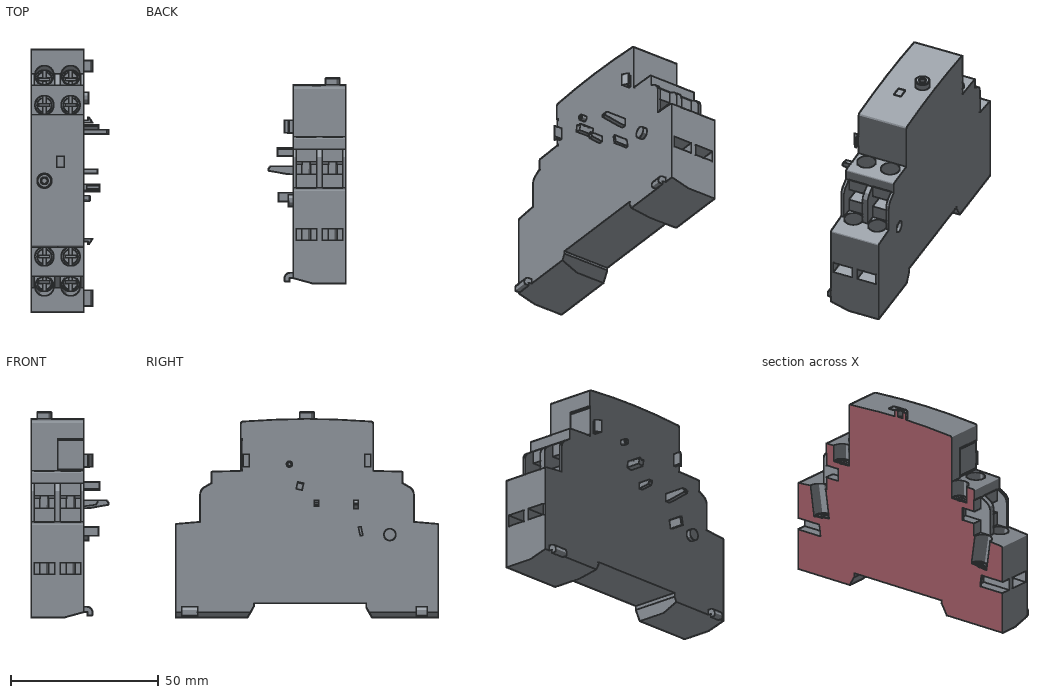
import cadquery as cq
import math


width = 18.0
length = 89.4
half_length = length / 2
overall_height = 70.0

head_half = 22.5
head_corner_z = 66.7
crown_z = 67.6
head_edge_radius = 0.8

upper_step_half = 32.5
upper_step_inner_z = 50.0
upper_step_outer_z = 49.7
step_edge_radius = 0.5

shoulder_half = 36.4
shoulder_top_z = 45.8
shoulder_slope = math.radians(30)
shoulder_radius = 3.1

lower_step_inner_z = 32.6
lower_step_outer_z = 31.9

rail_depth = 4.9
rail_back_y = 20.1
rail_front_y = -18.0
rail_back_lip = 3.5
rail_front_lip = 3.9
rail_slope = math.radians(30)

bevel_start_x = 11.1
bevel_height = 1.9

terminal_pitch = 8.9
terminal_xs = (width / 2 - terminal_pitch / 2, width / 2 + terminal_pitch / 2)
terminal_width = 7.0
bay_setback = 0.3
screw_hole_diameter = 6.4
screw_head_diameter = 5.0
screw_shaft_diameter = 3.0
screw_head_height = 0.5
long_slot_width = 1.25
short_slot_width = 1.0
short_slot_length = 3.7
long_slot_depth = 0.7
short_slot_depth = 0.9

upper_screw_y = 25.75
upper_screw_depth = 5.8
upper_window_bottom = 37.2
upper_window_top = 41.5
upper_lip_height = 0.8
upper_lip_thickness = 0.7

lower_screw_y = 35.9
lower_screw_depth = 10.7
lower_screw_tilt = 8.0
lower_window_bottom = 14.75
lower_window_top = 18.8

button_x = terminal_xs[0]
button_diameter = 5.0
button_chamfer = 0.3
button_hole_diameter = 2.0
button_sink_diameter = 2.5
button_hole_depth = 2.2

marker_center = (10.0, 6.5)
marker_size = (2.6, 3.75)
shallow_depth = 0.3

label_x = 9.0
label_bottom = upper_step_inner_z
label_top = 60.8
label_gap = 0.5
label_gap_depth = 0.45

peg_y = 28.2
peg_z = 28.25
peg_diameter = 4.0
peg_length = 1.6

root_x = width - 0.45
back_hook_range = (37.1, 40.95)
front_hook_range = (-42.6, -37.2)
bar_tilt = 12.0


def block(x_range, y_range, z_range):
    """Axis-aligned box given by its limits."""
    (x0, x1), (y0, y1), (z0, z1) = x_range, y_range, z_range
    return cq.Workplane("XY").box(x1 - x0, y1 - y0, z1 - z0, centered=False).translate((x0, y0, z0))


def prism_along_x(points, x0, x1):
    """Extrude a (y, z) outline from x0 to x1."""
    return cq.Workplane("YZ").workplane(offset=x0).polyline(points).close().extrude(x1 - x0)


def prism_along_y(points, y0, y1):
    """Extrude an (x, z) outline from y0 to y1."""
    return cq.Workplane("XZ").workplane(offset=-y1).polyline(points).close().extrude(y1 - y0)


def x_cylinder(diameter, x0, x1, y, z):
    return cq.Workplane("YZ").workplane(offset=x0).center(y, z).circle(diameter / 2).extrude(x1 - x0)


def mirrored(shape):
    """The shape together with its mirror image at the -Y end."""
    return shape.union(shape.mirror("XZ"))


def edge_at(y, z):
    """Selector for the edge along X that passes through (y, z)."""
    reach = 0.045
    return cq.selectors.BoxSelector((-0.9, y - reach, z - reach), (width + 0.9, y + reach, z + reach))


def make_housing():
    shoulder_corner_z = shoulder_top_z - (shoulder_half - upper_step_half) * math.tan(shoulder_slope)
    rail_back_foot = rail_back_y + rail_back_lip * math.tan(rail_slope)
    rail_front_foot = rail_front_y - rail_front_lip * math.tan(rail_slope)
    flank = [
        (half_length, 0),
        (half_length, lower_step_outer_z),
        (shoulder_half, lower_step_inner_z),
        (shoulder_half, shoulder_corner_z),
        (upper_step_half, shoulder_top_z),
        (upper_step_half, upper_step_outer_z),
        (head_half, upper_step_inner_z),
        (head_half, head_corner_z),
    ]
    outline = cq.Workplane("YZ").polyline(flank)
    outline = outline.threePointArc((0, crown_z), (-head_half, head_corner_z))
    for y, z in reversed(flank[:-1]):
        outline = outline.lineTo(-y, z)
    notch = [
        (rail_front_foot, 0),
        (rail_front_y, rail_front_lip),
        (rail_front_y, rail_depth),
        (rail_back_y, rail_depth),
        (rail_back_y, rail_back_lip),
        (rail_back_foot, 0),
    ]
    for point in notch:
        outline = outline.lineTo(*point)
    body = outline.close().extrude(width)

    rounded_edges = [
        (head_half, head_corner_z, head_edge_radius),
        (upper_step_half, upper_step_outer_z, step_edge_radius),
        (half_length, lower_step_outer_z, step_edge_radius),
        (shoulder_half, shoulder_corner_z, shoulder_radius),
    ]
    for y, z, radius in rounded_edges:
        for side in (1, -1):
            body = body.edges(edge_at(side * y, z)).fillet(radius)

    bevel = [(bevel_start_x, 0), (width, bevel_height), (width, 0)]
    return body.cut(prism_along_y(bevel, -half_length, half_length))


def screw_well(depth):
    """Cutter for a well below the origin, leaving a cross-slotted screw head on its floor."""
    mouth = 1.8
    hole_radius = screw_hole_diameter / 2
    well = cq.Workplane("XY").workplane(offset=-depth).circle(hole_radius).extrude(depth + mouth)
    head = (
        cq.Workplane("XY").workplane(offset=-depth).circle(hole_radius)
        .workplane(offset=screw_head_height).circle(screw_head_diameter / 2).loft()
    )
    head_top = screw_head_height - depth
    long_slot = cq.Workplane("XY").box(long_slot_width, screw_hole_diameter, long_slot_depth)
    short_slot = cq.Workplane("XY").box(short_slot_length, short_slot_width, short_slot_depth)
    slots = long_slot.translate((0, 0, head_top - long_slot_depth / 2))
    slots = slots.union(short_slot.translate((0, 0, head_top - short_slot_depth / 2)))
    reach = cq.Workplane("XY").workplane(offset=-2 * depth).circle(hole_radius).extrude(2 * depth)
    return well.cut(head).union(slots.intersect(reach))


def screw_shaft(length_below):
    return cq.Workplane("XY").circle(screw_shaft_diameter / 2).extrude(-length_below)


def make_upper_terminal(x):
    """Cutter for an upper screw well and the open bay with its wire window."""
    x0, x1 = x - terminal_width / 2, x + terminal_width / 2
    bay_back = upper_step_half - bay_setback
    lip_y = upper_screw_y + upper_lip_thickness
    lip_z = upper_window_top - upper_lip_height
    bay = block((x0, x1), (bay_back, shoulder_half + 0.9), (lower_step_inner_z, shoulder_top_z))
    window = prism_along_x(
        [
            (upper_screw_y, upper_window_bottom),
            (bay_back, upper_window_bottom),
            (bay_back, upper_window_top),
            (lip_y, upper_window_top),
            (lip_y, lip_z),
            (upper_screw_y, lip_z),
        ],
        x0, x1,
    )
    seat = (x, upper_screw_y, upper_step_inner_z)
    shaft = screw_shaft(upper_step_inner_z).translate(seat)
    return bay.union(window.cut(shaft)).union(screw_well(upper_screw_depth).translate(seat))


def make_lower_terminal(x):
    """Cutter for a leaning lower screw well and the wire window in the end face."""
    seat = (x, lower_screw_y, lower_step_inner_z)

    def place(shape):
        return shape.rotate((0, 0, 0), (1, 0, 0), -lower_screw_tilt).translate(seat)

    window_mid_z = (lower_window_bottom + lower_window_top) / 2
    lean = math.tan(math.radians(lower_screw_tilt))
    window_back = lower_screw_y - (lower_step_inner_z - window_mid_z) * lean
    window = block(
        (x - terminal_width / 2, x + terminal_width / 2),
        (window_back, half_length),
        (lower_window_bottom, lower_window_top),
    )
    window = window.cut(place(screw_shaft(lower_step_inner_z)))
    return window.union(place(screw_well(lower_screw_depth)))


def add_button(body):
    center = (button_x, 0)
    button = (
        cq.Workplane("XY").workplane(offset=head_corner_z).center(*center)
        .circle(button_diameter / 2).extrude(overall_height - head_corner_z)
        .faces(">Z").edges().chamfer(button_chamfer)
    )
    hole = cq.Workplane("XY").workplane(offset=overall_height).center(*center)
    hole = hole.circle(button_hole_diameter / 2).extrude(-button_hole_depth)
    sink_depth = (button_sink_diameter - button_hole_diameter) / 2
    sink = (
        cq.Workplane("XY").workplane(offset=overall_height).center(*center)
        .circle(button_sink_diameter / 2)
        .workplane(offset=-sink_depth).circle(button_hole_diameter / 2).loft()
    )
    return body.union(button).cut(hole).cut(sink)


def make_marker():
    """Cutter for the shallow rectangular marker in the crown."""
    floor = cq.Workplane("XY").workplane(offset=crown_z - shallow_depth)
    return floor.center(*marker_center).rect(*marker_size).extrude(2 * shallow_depth)


def make_label():
    """Cutter for the shallow label recess, with deeper grooves at its top and bottom."""
    face_y = -head_half
    x_range = (label_x, width)
    label = block(x_range, (face_y, face_y + shallow_depth), (label_bottom, label_top))
    for gap_z in (label_bottom, label_top - label_gap):
        gap = block(x_range, (face_y, face_y + label_gap_depth), (gap_z, gap_z + label_gap))
        label = label.union(gap)
    return label



def make_barbs():
    """Pair of snap clips whose barbs point away from the middle."""
    bottom, top = 51.3, 55.6
    inner_y, outer_y, barb_y = 19.7, 20.65, 21.6
    barb_x, barb_end_x, tip_x = 19.3, 19.7, 20.9
    outline = [
        (root_x, inner_y), (tip_x, inner_y), (barb_end_x, barb_y),
        (barb_x, barb_y), (barb_x, outer_y), (root_x, outer_y),
    ]
    clip = cq.Workplane("XY").workplane(offset=bottom).polyline(outline).close().extrude(top - bottom)
    return mirrored(clip)


def make_hook(y_range):
    """Curled hook at the foot of the side."""
    top, foot, tip_x = 3.75, 0.7, 20.9
    throat_x = 19.1
    curl_radius = 2.0
    tip_radius = 0.5
    outline = [
        (root_x, top), (tip_x, top), (tip_x, foot),
        (throat_x, foot), (throat_x, bevel_height), (root_x, bevel_height),
    ]
    hook = prism_along_y(outline, *y_range)
    hook = hook.edges("|Y and >X and >Z").fillet(curl_radius)
    return hook.edges("|Y and >X and <Z").fillet(tip_radius)


def make_fingers():
    """Two flat tapered fingers, the longer one towards +Y."""
    top = 40.0
    long_range, short_range = (15.8, 17.4), (2.4, 3.9)
    long_outline = [(root_x, 37.1), (20.1, 37.3), (26.3, 38.35), (26.5, 39.0), (25.7, top), (root_x, top)]
    short_outline = [(root_x, 37.8), (22.1, 38.4), (22.6, 39.3), (22.6, top), (root_x, top)]
    long_finger = prism_along_y(long_outline, *long_range)
    return long_finger.union(prism_along_y(short_outline, *short_range))


def place_tilted(shape, y, z, tilt):
    """Tilt a shape about the X axis, then move it to (y, z)."""
    return shape.rotate((0, 0, 0), (1, 0, 0), tilt).translate((0, y, z))


def centered_bar(x0, x1, thickness, height):
    """Bar along the X axis, centred in Y and Z."""
    return block((x0, x1), (-thickness / 2, thickness / 2), (-height / 2, height / 2))


def make_grooved_bar():
    """Thick bar leaning towards +Y, with a groove along its top."""
    end_x = 23.3
    thickness, height = 2.1, 2.4
    center_y, center_z = -2.4, 44.8
    groove_start_x, groove_width = 18.95, 1.2
    groove = centered_bar(groove_start_x, end_x, groove_width, shallow_depth)
    groove = groove.translate((0, 0, (height - shallow_depth) / 2))
    bar = centered_bar(root_x, end_x, thickness, height).cut(groove)
    return place_tilted(bar, center_y, center_z, -bar_tilt)


def make_thin_bar():
    """Thin bar leaning towards -Y."""
    end_x = 23.0
    thickness, height = 0.9, 3.0
    center_y, center_z = 18.2, 29.4
    bar = centered_bar(root_x, end_x, thickness, height)
    return place_tilted(bar, center_y, center_z, bar_tilt)


def make_pin():
    diameter, end_x, chamfer = 2.0, 20.1, 0.4
    center_y, center_z = -6.0, 52.2
    return x_cylinder(diameter, root_x, end_x, center_y, center_z).faces(">X").edges().chamfer(chamfer)


body = make_housing()

for terminal_x in terminal_xs:
    body = body.cut(mirrored(make_upper_terminal(terminal_x)))
    body = body.cut(mirrored(make_lower_terminal(terminal_x)))

body = add_button(body).cut(make_marker()).cut(make_label())

body = body.cut(x_cylinder(peg_diameter, 0, peg_length, peg_y, peg_z))
body = body.union(x_cylinder(peg_diameter, root_x, width + peg_length, peg_y, peg_z))

side_features = [
    make_barbs(),
    make_hook(back_hook_range),
    make_hook(front_hook_range),
    make_fingers(),
    make_grooved_bar(),
    make_thin_bar(),
    make_pin(),
]
for feature in side_features:
    body = body.union(feature)

result = body